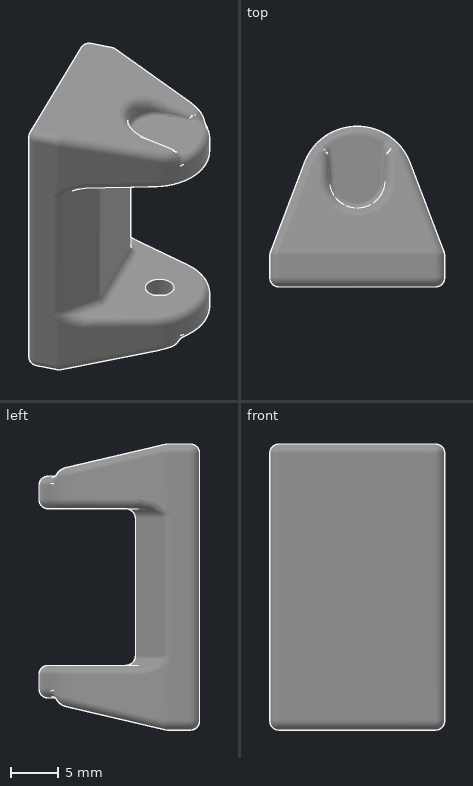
import cadquery as cq
import math

width = 18.5
depth = 17.0
height = 30.25
edge_radius = 1.0

base_depth = 3.5
nose_radius = 6.0
nose_y = depth - nose_radius

slope_angle = 13.2

gap_height = 16.52
bridge_depth = 6.8
shoulder_angle = 52.0
bridge_edge_radius = 0.6

slot_radius = 2.93
slot_y = 11.28
slot_floor_z = 11.75
slot_rim_radius = 1.1
slot_floor_radius = 0.5

pin_y = 11.75
pin_radius = 1.5
pin_depth = 2.0

overlap = 3.02
tolerance = 0.03

half_width = width / 2
half_height = height / 2
half_gap = gap_height / 2


def plan_prism():
    """Full-height prism over the outline seen along Z."""
    rise = nose_y - base_depth
    flank_angle = math.atan2(rise, half_width) + math.asin(nose_radius / math.hypot(half_width, rise))
    tangent_x = nose_radius * math.sin(flank_angle)
    tangent_y = nose_y + nose_radius * math.cos(flank_angle)
    return (
        cq.Workplane("XY", origin=(0, 0, -half_height))
        .moveTo(-half_width, 0)
        .lineTo(half_width, 0)
        .lineTo(half_width, base_depth)
        .lineTo(tangent_x, tangent_y)
        .threePointArc((0, depth), (-tangent_x, tangent_y))
        .lineTo(-half_width, base_depth)
        .close()
        .extrude(height)
    )


def side_prism():
    """Full-width prism over the outline seen along X, with both sloped faces."""
    nose_z = half_height - (depth - base_depth) * math.tan(math.radians(slope_angle))
    return (
        cq.Workplane("YZ", origin=(-half_width, 0, 0))
        .polyline([
            (0, -half_height),
            (base_depth, -half_height),
            (depth, -nose_z),
            (depth, nose_z),
            (base_depth, half_height),
            (0, half_height),
        ])
        .close()
        .extrude(width)
    )


outline_wall = cq.Compound.makeCompound(plan_prism().faces("not(<Z or >Z)").vals())


def on_outline(edge):
    """True for an edge that lies on the outer wall of the plan outline."""
    middle = edge.positionAt(0.5)
    return cq.Vertex.makeVertex(*middle.toTuple()).distance(outline_wall) < tolerance


def fillet_where(body, accept, radius):
    """Round every edge of the body that the given test accepts."""
    edges = [edge for edge in body.edges().vals() if accept(edge)]
    return body.newObject(edges).fillet(radius)


def slot_prism():
    """U-shaped prism that runs out past the nose and through both arms."""
    length = depth + overlap - slot_y
    channel = cq.Workplane("XY").box(2 * slot_radius, length, height, centered=(True, False, True))
    inner_end = cq.Workplane("XY").circle(slot_radius).extrude(half_height, both=True)
    return channel.union(inner_end).translate((0, slot_y, 0))


def is_slot_rim(edge):
    """True for the edges where the slot meets the sloped faces."""
    middle = edge.positionAt(0.5)
    across = edge.geomType() == "LINE" and abs(edge.tangentAt(0.5).y) < tolerance
    in_slot = abs(middle.x) < slot_radius + tolerance and slot_y - slot_radius - tolerance < middle.y
    return in_slot and abs(middle.z) > slot_floor_z and not across


def is_slot_floor(edge):
    """True for the inside corner around the slot floor."""
    middle = edge.positionAt(0.5)
    return abs(abs(middle.z) - slot_floor_z) < tolerance and not on_outline(edge)


def slotted_block():
    """Base and arms with the rounded slots, before the gap is cut."""
    block = plan_prism().intersect(side_prism())
    core = block.intersect(cq.Workplane("XY").box(2 * width, 2 * depth, 2 * slot_floor_z))
    body = fillet_where(block.cut(slot_prism()), is_slot_rim, slot_rim_radius)
    return fillet_where(body.union(core), is_slot_floor, slot_floor_radius)


def is_outer_edge(edge):
    """True for the outer edges and bends of the slotted block."""
    middle = edge.positionAt(0.5)
    tangent_line = abs(edge.tangentAt(0.5).z) > 0.3 - tolerance and middle.y > base_depth + tolerance
    base_bend = abs(middle.y - base_depth) < tolerance
    return base_bend or (on_outline(edge) and not tangent_line)


def gap_cutter():
    """Space between the arms, with the inside and bridge corners rounded."""
    shoulder_slope = math.tan(math.radians(shoulder_angle))
    bridge_half_width = half_width - (bridge_depth - base_depth) * shoulder_slope
    outer_half_width = half_width + overlap * shoulder_slope
    cutter = (
        cq.Workplane("XY", origin=(0, 0, -half_gap))
        .polyline([
            (-outer_half_width, base_depth - overlap),
            (-bridge_half_width, bridge_depth),
            (bridge_half_width, bridge_depth),
            (outer_half_width, base_depth - overlap),
            (outer_half_width, depth + overlap),
            (-outer_half_width, depth + overlap),
        ])
        .close()
        .extrude(gap_height)
    )
    bridge_zone = cq.selectors.BoxSelector(
        (-half_width, 0, -height),
        (half_width, bridge_depth + tolerance, height),
    )
    cutter = cutter.edges("|Z").edges(bridge_zone).fillet(bridge_edge_radius)
    return cutter.faces("<Z or >Z").edges(bridge_zone).fillet(edge_radius)


def is_gap_lip(edge):
    """True for the edges where the gap breaks out of the outer wall."""
    middle = edge.positionAt(0.5)
    in_gap = abs(middle.z) < half_gap + tolerance and middle.y > base_depth - edge_radius
    return in_gap and on_outline(edge)


def pin_holes():
    """Blind holes sunk into both arms from the gap."""
    tip_z = half_gap + pin_depth
    return cq.Workplane("XY").center(0, pin_y).circle(pin_radius).extrude(tip_z, both=True)


result = fillet_where(slotted_block(), is_outer_edge, edge_radius)
result = fillet_where(result.cut(gap_cutter()), is_gap_lip, edge_radius)
result = result.cut(pin_holes())